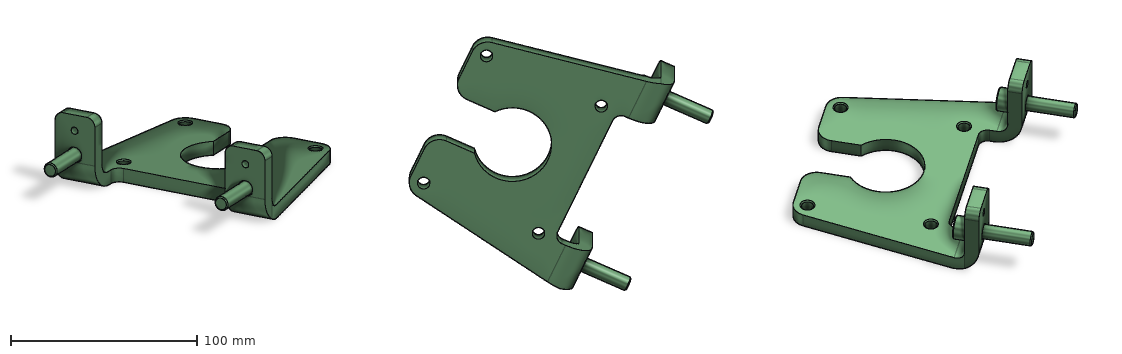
import cadquery as cq

thickness = 8.0
plate_depth = 108.0
total_width = 129.0
rear_width = 93.8
rear_corner_radius = 9.0
front_edge_y = 23.0
notch_width = 80.0
notch_corner_radius = 5.0

plate_hole_pitch_x = 80.0
plate_hole_pitch_y = 68.0
plate_hole_diameter = 6.6
plate_hole_mouth_diameter = 8.0
rear_hole_inset = 8.0

keyhole_diameter = 42.0
keyhole_slot_width = 26.0

tab_height = 43.0
tab_corner_radius = 5.0
bend_inner_radius = 6.0
bend_outer_radius = 15.9
small_hole_diameter = 4.0
small_hole_above_screw = 13.9

screw_x = 52.5
screw_z = 20.1
screw_hole_diameter = 8.8
shank_diameter = 8.0
shank_end_y = -27.0
shank_chamfer = 0.7
head_diameter = 13.0
head_length = 8.0
head_chamfer = 0.5
head_base_chamfer = 0.3

half_width = total_width / 2
keyhole_y = plate_depth - rear_hole_inset - plate_hole_pitch_y / 2
sides = (-1, 1)


def bent_profile():
    """Side profile of plate and tab, extruded over the full width."""
    return (
        cq.Workplane("YZ")
        .moveTo(plate_depth, 0)
        .lineTo(bend_outer_radius, 0)
        .radiusArc((0, bend_outer_radius), bend_outer_radius)
        .lineTo(0, tab_height)
        .lineTo(thickness, tab_height)
        .lineTo(thickness, thickness + bend_inner_radius)
        .radiusArc((thickness + bend_inner_radius, thickness), -bend_inner_radius)
        .lineTo(plate_depth, thickness)
        .close()
        .extrude(half_width, both=True)
    )


def outer_outline():
    """Plan outline: straight across the tabs, then tapering to the rear edge."""
    return (
        cq.Workplane("XY")
        .moveTo(-half_width, 0)
        .lineTo(half_width, 0)
        .lineTo(half_width, thickness)
        .lineTo(rear_width / 2, plate_depth)
        .lineTo(-rear_width / 2, plate_depth)
        .lineTo(-half_width, thickness)
        .close()
        .extrude(tab_height)
    )


def front_notch():
    """Cutter that separates the two tabs."""
    return (
        cq.Workplane("XY")
        .rect(notch_width, 2 * front_edge_y)
        .extrude(tab_height)
        .edges("|Z and >Y")
        .fillet(notch_corner_radius)
    )


def keyhole():
    """Cutter for the round opening and the slot leading to it from the rear."""
    opening = cq.Workplane("XY").center(0, keyhole_y).circle(keyhole_diameter / 2).extrude(thickness)
    slot = (
        cq.Workplane("XY")
        .center(0, (keyhole_y + plate_depth) / 2)
        .rect(keyhole_slot_width, plate_depth - keyhole_y)
        .extrude(thickness)
    )
    return opening.union(slot)


def plate_holes():
    """Cutter for the four plate holes with chamfered mouths on the upper face."""
    mouth_depth = (plate_hole_mouth_diameter - plate_hole_diameter) / 2
    hole = (
        cq.Workplane("XZ")
        .lineTo(plate_hole_diameter / 2, 0)
        .lineTo(plate_hole_diameter / 2, thickness - mouth_depth)
        .lineTo(plate_hole_mouth_diameter / 2, thickness)
        .lineTo(0, thickness)
        .close()
        .revolve(360, (0, 0, 0), (0, 1, 0))
        .val()
    )
    return (
        cq.Workplane("XY")
        .center(0, keyhole_y)
        .rect(plate_hole_pitch_x, plate_hole_pitch_y, forConstruction=True)
        .vertices()
        .eachpoint(lambda place: hole.moved(place))
    )


def tab_holes(diameter, height):
    """Cutter for one hole through each tab."""
    return (
        cq.Workplane("XZ")
        .pushPoints([(side * screw_x, height) for side in sides])
        .circle(diameter / 2)
        .extrude(-thickness)
    )


def make_bracket():
    bracket = bent_profile().intersect(outer_outline()).cut(front_notch()).cut(keyhole())
    bracket = bracket.edges("|Z and >Y").fillet(rear_corner_radius)
    bracket = bracket.faces(">Z").edges("|Y").fillet(tab_corner_radius)
    bracket = bracket.cut(plate_holes())
    bracket = bracket.cut(tab_holes(screw_hole_diameter, screw_z))
    return bracket.cut(tab_holes(small_hole_diameter, screw_z + small_hole_above_screw))


def make_screw(side):
    """Screw whose head rests on the inner face of a tab and whose shank points to -Y."""
    head_seat = cq.Workplane("XZ", origin=(side * screw_x, thickness, screw_z))
    head = (
        head_seat.circle(head_diameter / 2)
        .extrude(-head_length)
        .faces(">Y")
        .chamfer(head_chamfer)
        .faces("<Y")
        .chamfer(head_base_chamfer)
    )
    shank = (
        head_seat.circle(shank_diameter / 2)
        .extrude(thickness - shank_end_y)
        .faces("<Y")
        .chamfer(shank_chamfer)
    )
    return head.union(shank)


bracket = make_bracket()
screws = [make_screw(side) for side in sides]

result = cq.Compound.makeCompound([bracket.val(), *[screw.val() for screw in screws]])